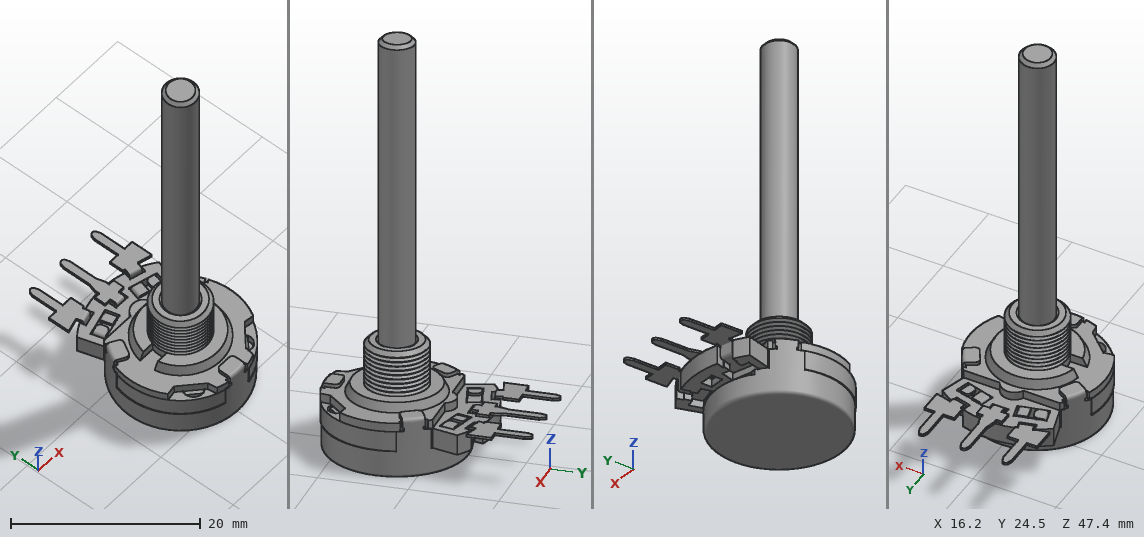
import cadquery as cq
import math

CAN_RIM = 3.15
WAFER_TOP = 5.4
PLATE_TOP = 6.4
BOSS_TOP = 7.4
BUSHING_TOP = 12.4
SHAFT_TOP = 47.4

SHAFT_R = 4.0 / 2
SHAFT_CHAMFER = 0.45
BORE_CHAMFER = 0.25
THREAD_R = 7.0 / 2
THREAD_ROOT_R = 6.35 / 2
THREAD_COUNT = 9
THREAD_PITCH = (BUSHING_TOP - BOSS_TOP) / (THREAD_COUNT + 1)

CAN_R = 16.0 / 2
CAN_WALL = 0.31
CAN_INNER_R = CAN_R - CAN_WALL
CAN_EDGE_FILLET = 0.4
REAR_RIM = 2.55
REAR_CUT_Y = 6.55
STRAP_ANGLES = (30, 150, 270)
STRAP_W = 3.8
TAB_W = 2.45
TAB_TOP = PLATE_TOP + 0.45
TAB_INNER_END = 6.05
TAB_CORNER_R = 0.47
TAB_BEND_R = 0.45
TAB_RELIEF_R = 0.2

DISC_R = 16.2 / 2
LOBE_R = 10.95
LOBE_ROOT = (5.8, 5.7)
LOBE_CORNER_X = 6.7
RECESS_CENTER = (4.05, -5.2)
RECESS_R = 2.3 / 2
RECESS_DEPTH = 0.25
RECESS_POCKET_DEPTH = 0.95
RECESS_LEDGE_EDGE = 0.55
BOSS_BASE_R = 11.0 / 2
BOSS_TOP_R = 9.95 / 2
BOSS_SLOT_W = 2.0
BUMP_HALF_W = 1.4
BUMP_Y = 6.6
TAB_NOTCH_W = 3.05
PLATE_CUTOUT = ((7.0, -4.15), (5.75, -4.0), (3.15, -6.4), (2.95, -7.65))

SHEET = 0.3
BEND_INNER_R = 0.05
BEND_OUTER_R = 0.35
PIN_W = 1.05
PIN_TIP_Y = 16.5
PIN_TIP_W = 0.8
PIN_SHOULDER_Y = 15.8
PIN_SPACING = 5.02
LINK_BASE = 3.9
LINK_TOP = LINK_BASE + SHEET

FLARE_TOP_Y = 12.2
FLARE_LOW_Y = 11.05
FLARE_W = 1.65
HEAD_W = 3.05
HEAD_TOP_Y = 10.55
HEAD_LOW_Y = 9.15
CENTER_NECK_W = 1.35
CENTER_LEG_Y = 8.25
CENTER_SLOT_W = 1.9
CENTER_SLOT_Y = 8.1
CENTER_SLOT_END_Y = 9.5

TURN = 15
FLAG_CENTER_X = -5.0
FLAG_W = 3.6
FLAG_TOP_Y = 12.45
FLAG_EDGE_V = 11.15
INNER_U = -1.37
NECK_W = 1.6
LEG_V = 10.3
NOTCH_V = 9.9
NOTCH_W = 1.9
WINDOW_V = 8.15
WINDOW_L = 3.6
WINDOW_W = 1.7
CLINCH_L = 3.2
CLINCH_W = 1.5
CLINCH_TOP = 5.5
CLINCH_GAP = 0.5
CLINCH_TIP_R = 0.55


def box(x0, x1, y0, y1, z0, z1):
    return cq.Workplane("XY").box(x1 - x0, y1 - y0, z1 - z0, centered=False).translate((x0, y0, z0))


def cylinder(radius, z0, z1):
    return cq.Workplane("XY").workplane(offset=z0).circle(radius).extrude(z1 - z0)


def prism(points, z0, z1):
    return cq.Workplane("XY").workplane(offset=z0).polyline(points).close().extrude(z1 - z0)


def mirrored(points):
    return [(-x, y) for x, y in reversed(points)]


def turned(shape, angle):
    return shape.rotate((0, 0, 0), (0, 0, 1), angle)


def both_sides(shape):
    return shape.union(shape.mirror("YZ"))


def make_shaft():
    shaft = cylinder(SHAFT_R, WAFER_TOP, SHAFT_TOP)
    return shaft.faces(">Z").chamfer(SHAFT_CHAMFER)


def make_bushing():
    """Threaded sleeve; the thread is a stack of V-shaped rings."""
    profile = [(0, WAFER_TOP), (THREAD_R, WAFER_TOP), (THREAD_R, BOSS_TOP)]
    for i in range(THREAD_COUNT):
        crest = BOSS_TOP + i * THREAD_PITCH
        profile.append((THREAD_ROOT_R, crest + THREAD_PITCH / 2))
        profile.append((THREAD_R, crest + THREAD_PITCH))
    profile.append((THREAD_R - THREAD_PITCH, BUSHING_TOP))
    profile.append((0, BUSHING_TOP))
    sleeve = cq.Workplane("XZ").polyline(profile).close().revolve(360, (0, 0, 0), (0, 1, 0))
    sleeve = sleeve.cut(cylinder(SHAFT_R, WAFER_TOP, BUSHING_TOP))
    bore_edge = cq.selectors.RadiusNthSelector(0)
    return sleeve.faces(">Z").edges(bore_edge).chamfer(BORE_CHAMFER)


def strap_zone():
    """Space above the rim that the strap at +X and its folded tab may fill."""
    strap = box(0, DISC_R, -STRAP_W / 2, STRAP_W / 2, CAN_RIM, WAFER_TOP)
    tab = box(TAB_INNER_END, DISC_R, -TAB_W / 2, TAB_W / 2, WAFER_TOP, TAB_TOP)
    tab = tab.edges("|Z and <X").fillet(TAB_CORNER_R)
    relief = (
        cq.Workplane("YZ")
        .pushPoints([(side * TAB_W / 2, WAFER_TOP + TAB_RELIEF_R) for side in (-1, 1)])
        .circle(TAB_RELIEF_R)
        .extrude(DISC_R)
    )
    return strap.union(tab.cut(relief))


def make_can():
    """Cup whose wall goes on above the rim only as the straps, and over the plate only as their tabs."""
    shell = cylinder(CAN_R, 0, TAB_TOP).faces("<Z").edges().fillet(CAN_EDGE_FILLET)
    shell = shell.faces(">Z").edges().fillet(TAB_BEND_R)
    shell = shell.cut(cylinder(CAN_INNER_R, CAN_WALL, PLATE_TOP))
    zone = cylinder(DISC_R, 0, CAN_RIM)
    for angle in STRAP_ANGLES:
        zone = zone.union(turned(strap_zone(), angle))
    can = shell.intersect(zone)
    return can.cut(box(-DISC_R, DISC_R, REAR_CUT_Y, DISC_R, REAR_RIM, CAN_RIM))


def outer_cutters():
    """Openings in the wafer for the left outer terminal."""
    window = box(
        INNER_U - WINDOW_L / 2, INNER_U + WINDOW_L / 2,
        WINDOW_V - WINDOW_W / 2, WINDOW_V + WINDOW_W / 2, CAN_RIM, WAFER_TOP,
    )
    notch = box(INNER_U - NOTCH_W / 2, INNER_U + NOTCH_W / 2, NOTCH_V, LOBE_R, CAN_RIM, WAFER_TOP)
    channel = box(INNER_U - NECK_W / 2, INNER_U + NECK_W / 2, WINDOW_V, LOBE_R, CAN_RIM, LINK_TOP)
    return turned(window.union(notch).union(channel), TURN)


def make_recess():
    """Round recess, deepened on the outer side of a ledge that runs along the plate cutout."""
    x, y = RECESS_CENTER
    recess = cylinder(RECESS_R, WAFER_TOP - RECESS_DEPTH, WAFER_TOP).translate((x, y, 0))
    pocket = cylinder(RECESS_R, WAFER_TOP - RECESS_POCKET_DEPTH, WAFER_TOP)
    pocket = pocket.intersect(box(RECESS_LEDGE_EDGE, RECESS_R, -RECESS_R, RECESS_R, 0, WAFER_TOP))
    (x0, y0), (x1, y1) = PLATE_CUTOUT[1:3]
    outward = math.degrees(math.atan2(x1 - x0, y0 - y1))
    return recess.union(turned(pocket, outward).translate((x, y, 0)))


def make_wafer():
    """Insulating disc with a rear lobe that carries the terminals."""
    corner_y = math.sqrt(LOBE_R**2 - LOBE_CORNER_X**2)
    root_x, root_y = LOBE_ROOT
    lobe = (
        cq.Workplane("XY").workplane(offset=CAN_RIM)
        .moveTo(-root_x, root_y)
        .lineTo(-LOBE_CORNER_X, corner_y)
        .threePointArc((0, LOBE_R), (LOBE_CORNER_X, corner_y))
        .lineTo(root_x, root_y)
        .close()
        .extrude(WAFER_TOP - CAN_RIM)
    )
    wafer = cylinder(DISC_R, CAN_RIM, WAFER_TOP).union(lobe)
    for angle in STRAP_ANGLES:
        seat = box(0, LOBE_R, -STRAP_W / 2, STRAP_W / 2, CAN_RIM, WAFER_TOP)
        wafer = wafer.cut(turned(seat.cut(cylinder(CAN_INNER_R, CAN_RIM, WAFER_TOP)), angle))
    wafer = wafer.cut(both_sides(outer_cutters()))
    center_slot = box(
        -CENTER_SLOT_W / 2, CENTER_SLOT_W / 2, CENTER_SLOT_Y, CENTER_SLOT_END_Y, CAN_RIM, WAFER_TOP
    )
    wafer = wafer.cut(center_slot)
    return wafer.cut(both_sides(make_recess()))


def make_plate():
    """Mounting plate with a slotted conical boss around the bushing."""
    disc = cylinder(DISC_R, WAFER_TOP, PLATE_TOP)
    disc = disc.cut(box(-DISC_R, DISC_R, LOBE_ROOT[1], DISC_R, WAFER_TOP, PLATE_TOP))
    bump = (
        cq.Workplane("XY").workplane(offset=WAFER_TOP)
        .moveTo(-BUMP_HALF_W, LOBE_ROOT[1])
        .threePointArc((0, BUMP_Y), (BUMP_HALF_W, LOBE_ROOT[1]))
        .close()
        .extrude(PLATE_TOP - WAFER_TOP)
    )
    boss = (
        cq.Workplane("XY").workplane(offset=PLATE_TOP).circle(BOSS_BASE_R)
        .workplane(offset=BOSS_TOP - PLATE_TOP).circle(BOSS_TOP_R).loft()
    )
    boss = boss.cut(box(-DISC_R, 0, -BOSS_SLOT_W / 2, BOSS_SLOT_W / 2, PLATE_TOP, BOSS_TOP))
    plate = disc.union(bump).union(boss).cut(cylinder(THREAD_R, WAFER_TOP, BOSS_TOP))
    for angle in STRAP_ANGLES:
        notch = box(0, DISC_R, -TAB_NOTCH_W / 2, TAB_NOTCH_W / 2, WAFER_TOP, PLATE_TOP)
        plate = plate.cut(turned(notch.cut(cylinder(CAN_INNER_R, WAFER_TOP, PLATE_TOP)), angle))
    beyond_rim = (PLATE_CUTOUT[0][0], PLATE_CUTOUT[-1][1])
    cutout = prism([*PLATE_CUTOUT, beyond_rim], WAFER_TOP, PLATE_TOP)
    return plate.cut(both_sides(cutout))


def make_pin(x, base_y):
    """Flat pin with a narrowed, rounded tip."""
    return (
        cq.Workplane("XY").workplane(offset=WAFER_TOP)
        .moveTo(x - PIN_W / 2, base_y)
        .lineTo(x - PIN_W / 2, PIN_SHOULDER_Y)
        .lineTo(x - PIN_TIP_W / 2, PIN_TIP_Y - PIN_TIP_W / 2)
        .threePointArc((x, PIN_TIP_Y), (x + PIN_TIP_W / 2, PIN_TIP_Y - PIN_TIP_W / 2))
        .lineTo(x + PIN_W / 2, PIN_SHOULDER_Y)
        .lineTo(x + PIN_W / 2, base_y)
        .close()
        .extrude(SHEET)
    )


def bent_neck(u, width, leg_y, end_y):
    """Strip that runs inward on the wafer to leg_y and turns down into it."""
    block = box(u - width / 2, u + width / 2, leg_y, end_y, LINK_BASE, WAFER_TOP + SHEET)
    block = block.edges("|X and >Z and <Y").fillet(BEND_OUTER_R)
    inside = box(u - width / 2, u + width / 2, leg_y + SHEET, end_y, LINK_BASE, WAFER_TOP)
    inside = inside.edges("|X and >Z and <Y").fillet(BEND_INNER_R)
    return block.cut(inside)


def make_center_terminal():
    right = [
        (FLARE_W / 2, HEAD_TOP_Y),
        (FLARE_W / 2, FLARE_LOW_Y),
        (PIN_W / 2, FLARE_TOP_Y),
    ]
    flare = prism(right + mirrored(right), WAFER_TOP, WAFER_TOP + SHEET)
    head = box(-HEAD_W / 2, HEAD_W / 2, HEAD_LOW_Y, HEAD_TOP_Y, WAFER_TOP, WAFER_TOP + SHEET)
    neck = bent_neck(0, CENTER_NECK_W, CENTER_LEG_Y, HEAD_LOW_Y)
    return make_pin(0, FLARE_TOP_Y).union(flare).union(head).union(neck)


def make_clinch():
    """Staple inside the wafer window: a base and two legs folded over towards each other."""
    end_x = CLINCH_L / 2
    half_w = CLINCH_W / 2
    loop = box(-end_x, end_x, -half_w, half_w, LINK_BASE, CLINCH_TOP).edges("|Y and >Z").fillet(BEND_OUTER_R)
    inner_x = end_x - SHEET
    loop = loop.cut(box(-inner_x, inner_x, -half_w, half_w, LINK_TOP, CLINCH_TOP - SHEET))
    base = box(-end_x, end_x, -half_w, half_w, LINK_BASE, LINK_TOP)
    round_tip = box(-end_x, -CLINCH_GAP / 2, -half_w, half_w, LINK_TOP, CLINCH_TOP)
    round_tip = round_tip.edges("|Z and >X").fillet(CLINCH_TIP_R)
    square_tip = box(CLINCH_GAP / 2, end_x, -half_w, half_w, LINK_TOP, CLINCH_TOP)
    return loop.intersect(base.union(round_tip).union(square_tip))


def make_outer_terminal(is_right):
    """Outer terminal, shaped on the left and mirrored for the right."""
    x0 = FLAG_CENTER_X - FLAG_W / 2
    x1 = FLAG_CENTER_X + FLAG_W / 2

    def edge_y(x):
        return (FLAG_EDGE_V + x * math.sin(math.radians(TURN))) / math.cos(math.radians(TURN))

    outline = [(x0, FLAG_TOP_Y), (x1, FLAG_TOP_Y), (x1, edge_y(x1)), (x0, edge_y(x0))]
    flag = prism(outline, WAFER_TOP, WAFER_TOP + SHEET)
    neck = bent_neck(INNER_U, NECK_W, LEG_V, FLAG_EDGE_V)
    link = box(
        INNER_U - NECK_W / 2, INNER_U + NECK_W / 2, WINDOW_V, LEG_V + SHEET, LINK_BASE, LINK_TOP
    )
    clinch = make_clinch().translate((INNER_U, WINDOW_V, 0))
    bent = neck.union(link).faces("<Z").edges(">Y").fillet(BEND_OUTER_R)
    inner = turned(bent.union(clinch), TURN)
    terminal = flag.union(make_pin(-PIN_SPACING, FLAG_TOP_Y)).union(inner)
    return terminal.mirror("YZ") if is_right else terminal


shaft = make_shaft()
bushing = make_bushing()
plate = make_plate()
wafer = make_wafer()
can = make_can()
center_terminal = make_center_terminal()
outer_terminals = [make_outer_terminal(is_right) for is_right in (False, True)]

result = cq.Compound.makeCompound([
    shaft.val(), bushing.val(), plate.val(), wafer.val(), can.val(),
    center_terminal.val(), *[terminal.val() for terminal in outer_terminals],
])